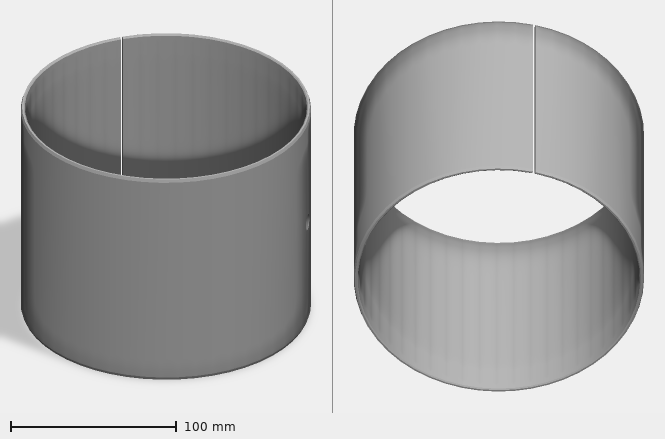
import cadquery as cq

outer_diameter = 175.0
height = 140.0
wall = 2.5
outer_chamfer_height = 2.0
rim_chamfer_width = 0.7
inner_chamfer_height = 0.7
slit_width = 1.5
slit_offset = 0.9
hole_diameter = 10.0
hole_angle = 59.0

outer_radius = outer_diameter / 2
inner_radius = outer_radius - wall
outer_rim_radius = outer_radius - rim_chamfer_width
inner_rim_radius = inner_radius + rim_chamfer_width


def make_sleeve():
    """Thin tube with rims tapered inside and out, revolved about Z."""
    return (
        cq.Workplane("XZ")
        .moveTo(inner_rim_radius, 0)
        .lineTo(outer_rim_radius, 0)
        .lineTo(outer_radius, outer_chamfer_height)
        .lineTo(outer_radius, height - outer_chamfer_height)
        .lineTo(outer_rim_radius, height)
        .lineTo(inner_rim_radius, height)
        .lineTo(inner_radius, height - inner_chamfer_height)
        .lineTo(inner_radius, inner_chamfer_height)
        .close()
        .revolve(360, (0, 0, 0), (0, 1, 0))
    )


def make_slit():
    """Full-height cut that opens the tube on its -X side."""
    return (
        cq.Workplane("XY")
        .center(-outer_radius, slit_offset)
        .rect(4 * wall, slit_width)
        .extrude(height)
    )


def make_hole():
    """Radial hole through one wall at mid height."""
    return (
        cq.Workplane("YZ")
        .center(0, height / 2)
        .circle(hole_diameter / 2)
        .extrude(outer_diameter)
        .rotate((0, 0, 0), (0, 0, 1), hole_angle)
    )


result = make_sleeve().cut(make_slit()).cut(make_hole())